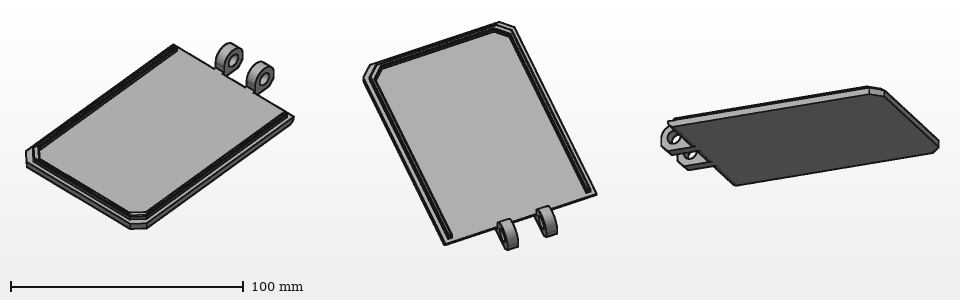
import cadquery as cq

plate_width = 70.0
plate_length = 99.0
plate_thickness = 3.0
corner_cut = 5.0
back_edge_radius = plate_thickness

rim_inset = 2.0
rim_width = 2.0
rim_height = 2.0
rim_edge_chamfer = 0.5

lug_thickness = 5.0
lug_gap = 13.0
lug_radius = 6.0
lug_bore_diameter = 6.0
lug_toe_chamfer = 3.0
lug_clearance = 1.0
pivot_y = plate_length + lug_clearance + lug_radius
pivot_z = lug_radius
lug_root_y = plate_length - back_edge_radius


def clipped_outline(inset, back_y, base_z):
    """Rectangle with 45 degree front corners, set in from the plate's front and sides."""
    half_width = plate_width / 2 - inset
    return (
        cq.Workplane("XY", origin=(0, 0, base_z))
        .moveTo(-half_width, back_y)
        .lineTo(-half_width, inset + corner_cut)
        .lineTo(-half_width + corner_cut, inset)
        .lineTo(half_width - corner_cut, inset)
        .lineTo(half_width, inset + corner_cut)
        .lineTo(half_width, back_y)
        .close()
    )


def make_plate():
    """Flat plate whose lower back edge is rounded to clear the hinge."""
    plate = clipped_outline(0, plate_length, 0).extrude(plate_thickness)
    back_edge_cutter = (
        cq.Workplane("YZ", origin=(-plate_width / 2, 0, 0))
        .moveTo(plate_length - back_edge_radius, 0)
        .lineTo(plate_length, 0)
        .lineTo(plate_length, back_edge_radius)
        .radiusArc((plate_length - back_edge_radius, 0), back_edge_radius)
        .close()
        .extrude(plate_width)
    )
    return plate.cut(back_edge_cutter)


def make_rim():
    """Rim standing on the plate, with every top edge chamfered."""
    back_y = plate_length - rim_inset
    outer = clipped_outline(rim_inset, back_y, plate_thickness).extrude(rim_height)
    inner = clipped_outline(rim_inset + rim_width, back_y, plate_thickness).extrude(rim_height)
    return outer.cut(inner).faces(">Z").edges().chamfer(rim_edge_chamfer)


def make_lug(start_x):
    """Round-topped hinge lug with a chamfered toe, joined to the plate by a foot under its back edge."""
    back_y = pivot_y + lug_radius
    front_y = pivot_y - lug_radius
    return (
        cq.Workplane("YZ", origin=(start_x, 0, 0))
        .moveTo(lug_root_y, 0)
        .lineTo(back_y - lug_toe_chamfer, 0)
        .lineTo(back_y, lug_toe_chamfer)
        .lineTo(back_y, pivot_z)
        .threePointArc((pivot_y, pivot_z + lug_radius), (front_y, pivot_z))
        .lineTo(front_y, plate_thickness)
        .lineTo(lug_root_y, plate_thickness)
        .close()
        .moveTo(pivot_y, pivot_z)
        .circle(lug_bore_diameter / 2)
        .extrude(lug_thickness)
    )


result = make_plate().union(make_rim())
for lug_start_x in (-lug_gap / 2 - lug_thickness, lug_gap / 2):
    result = result.union(make_lug(lug_start_x))